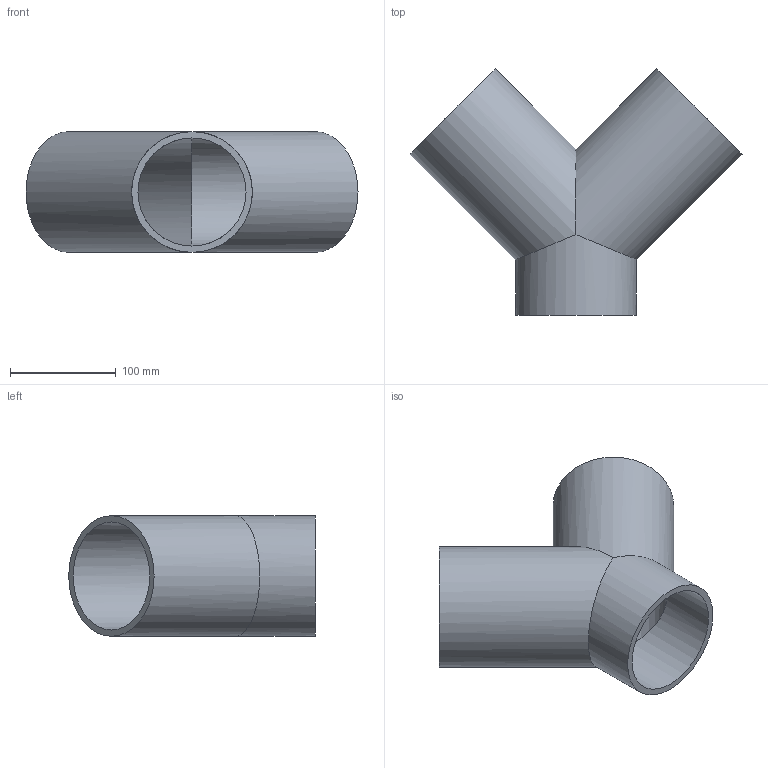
import cadquery as cq
import math

OUTER_DIAMETER = 114.3
BORE_DIAMETER = 102.26
INLET_LENGTH = 76.2
BRANCH_LENGTH = 165.1
BRANCH_ANGLE = 45.0


def leg(diameter, length, angle_from_y):
    """Cylinder from the origin, in the XY plane, tilted from +Y towards +X."""
    angle = math.radians(angle_from_y)
    direction = cq.Vector(math.sin(angle), math.cos(angle), 0)
    return cq.Workplane(cq.Solid.makeCylinder(diameter / 2, length, cq.Vector(0, 0, 0), direction))


def wye(diameter):
    """Inlet and both branches as solid rods; equal diameters meet along mitre planes."""
    body = leg(diameter, INLET_LENGTH, 180.0)
    for branch_angle in (-BRANCH_ANGLE, BRANCH_ANGLE):
        body = body.union(leg(diameter, BRANCH_LENGTH, branch_angle))
    return body


result = wye(OUTER_DIAMETER).cut(wye(BORE_DIAMETER))